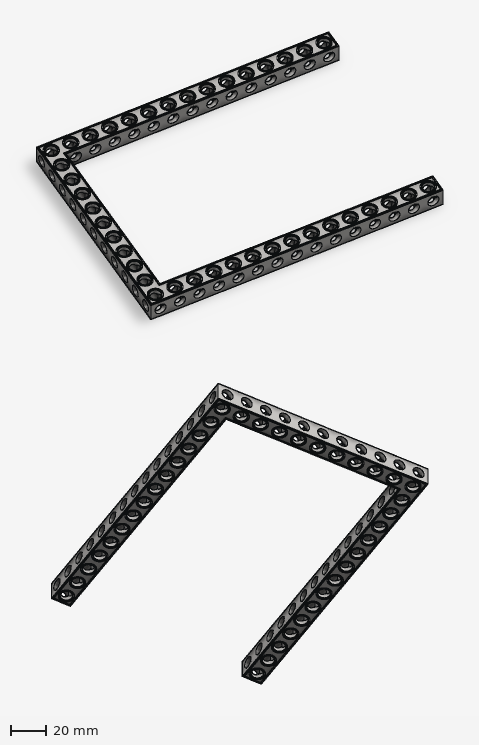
import cadquery as cq
length = 187.5
holes_along_leg = 15
holes_along_base = 11
hole_diameter = 7.0
collar_diameter = 9.2
rim_width = 1.03
recess_depth = 0.4
edge_chamfer = 0.4
mouth_chamfer = 0.4

pitch = length / holes_along_leg
width = pitch * holes_along_base
half = pitch / 2
hole_radius = hole_diameter / 2

leg_rows = [half + pitch * row for row in range(holes_along_leg)]
base_columns = [half + pitch * column for column in range(holes_along_base)]
left_leg, right_leg = base_columns[0], base_columns[-1]
base_row = leg_rows[0]

leg_cells = [(x, y) for x in (left_leg, right_leg) for y in leg_rows]
base_cells = [(x, base_row) for x in base_columns[1:-1]]
cells = leg_cells + base_cells


def u_shape(inset, bottom, height):
    """U-shaped slab whose outline lies inside the frame outline by the inset."""
    outer = cq.Workplane("XY").box(width - 2 * inset, length - 2 * inset, height, centered=False)
    opening_width = width - 2 * pitch + 2 * inset
    opening = cq.Workplane("XY").box(opening_width, length, height, centered=False)
    outer = outer.translate((inset, inset, bottom))
    opening = opening.translate((pitch - inset, pitch - inset, bottom))
    return outer.cut(opening)


def face_recess(bottom):
    """Shallow recess inside the rim, leaving a collar around each vertical hole."""
    collars = cq.Workplane("XY").pushPoints(cells).circle(collar_diameter / 2).extrude(recess_depth)
    return u_shape(rim_width, bottom, recess_depth).cut(collars.translate((0, 0, bottom)))


def vertical_hole(x, y):
    """Through hole along Z, chamfered at both ends."""
    mouth_radius = hole_radius + mouth_chamfer
    profile = [
        (0, 0),
        (mouth_radius, 0),
        (hole_radius, mouth_chamfer),
        (hole_radius, pitch - mouth_chamfer),
        (mouth_radius, pitch),
        (0, pitch),
    ]
    cutter = cq.Workplane("XZ").polyline(profile).close().revolve(360, (0, 0), (0, 1))
    return cutter.translate((x, y, 0)).val()


def side_hole(start, direction, depth):
    """Plain round cutter from a start point along a direction."""
    return cq.Solid.makeCylinder(hole_radius, depth, cq.Vector(*start), cq.Vector(*direction))


frame = u_shape(0, 0, pitch).faces("<Z or >Z").edges().chamfer(edge_chamfer)
frame = frame.cut(face_recess(0)).cut(face_recess(pitch - recess_depth))

cutters = [vertical_hole(x, y) for x, y in cells]
cutters += [side_hole((0, y, half), (1, 0, 0), width) for y in leg_rows]
cutters += [side_hole((x, 0, half), (0, 1, 0), length) for x in base_columns]

result = cq.Workplane("XY").newObject([frame.val().cut(*cutters)])